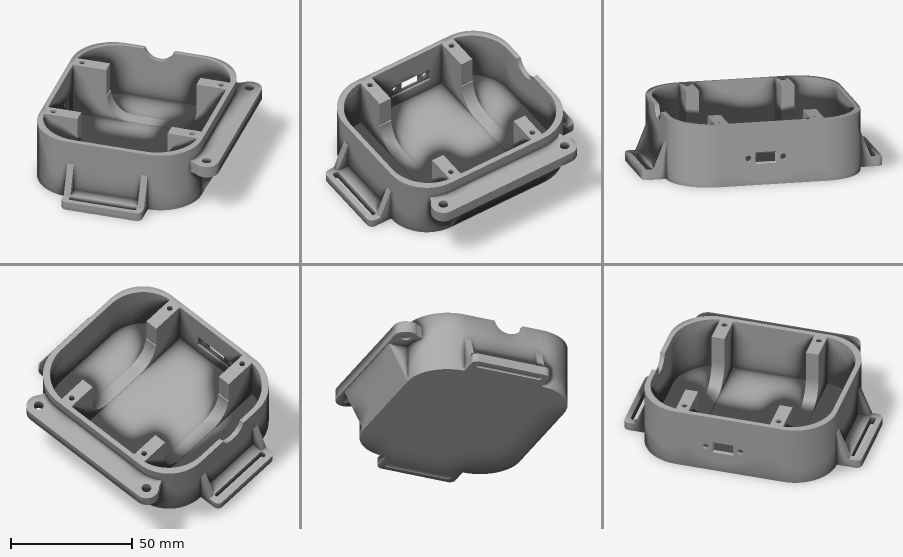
import cadquery as cq

body_x = 70.5
body_y = 82.0
body_z = 26.4
corner_radius = 17.9
wall = 2.0
floor = 3.0
cavity_x = body_x - 2 * wall
cavity_y = body_y - 2 * wall
straight_side_x = body_x - 2 * corner_radius
straight_side_y = body_y - 2 * corner_radius

rib_center_y = 0.6
rib_spacing = 40.5
rib_thickness = 5.5
screw_spacing_x = 60.0
screw_diameter = 2.5
screw_depth = 10.2
saddle_left = -18.8
saddle_right = 20.2
saddle_radius = 10.4
saddle_bottom = 3.3
saddle_ledge = 0.4

notch_x = -2.6
notch_radius = 6.4
notch_rise = 1.5

window_y = 2.8
window_z = 11.5
window_outer = (9.4, 5.0)
window_screw_spacing = 14.8
window_screw_diameter = 2.5
window_bevel = 0.6
window_wall = 1.0
window_pocket = (19.4, 6.1)

loop_span_y = 102.1
loop_center_y = -0.2
loop_thickness = 3.7
loop_corner_radius = 2.5
loop_bar = 2.2
slot_x = 29.1
slot_y = 2.8
slot_corner_radius = 0.8
loop_gusset_top = 16.1
loop_gusset_thickness = (straight_side_x - slot_x) / 2

flange_end_x = 44.4
flange_top = 20.9
flange_thickness = 5.0
flange_bottom = flange_top - flange_thickness
flange_center_y = 0.5
flange_hole_spacing = 60.3
flange_hole_diameter = 4.1
lobe_radius = 5.1
lobe_x = flange_end_x - lobe_radius
flange_neck_x = 35.5
flange_neck_half = 33.7
flange_root_x = 31.1
flange_root_half = 31.7
flange_gusset_reach = 8.4
flange_gusset_foot = 0.4


def rounded_block(size_x, size_y, height, radius):
    """Block on Z = 0, centred on X and Y, with rounded vertical edges."""
    return cq.Workplane("XY").rect(size_x, size_y).extrude(height).edges("|Z").fillet(radius)


def outer_block():
    return rounded_block(body_x, body_y, body_z, corner_radius)


def cavity():
    block = rounded_block(cavity_x, cavity_y, body_z - floor, corner_radius)
    return block.translate((0, 0, floor))


def saddle_profile():
    """U-shaped opening above the ribs, in the XZ plane, with a small ledge on its left side."""
    arc_start_x = saddle_left + saddle_ledge
    arc_top = saddle_bottom + saddle_radius
    return (
        cq.Workplane("XZ")
        .moveTo(saddle_left, body_z)
        .lineTo(saddle_left, arc_top)
        .lineTo(arc_start_x, arc_top)
        .radiusArc((arc_start_x + saddle_radius, saddle_bottom), -saddle_radius)
        .lineTo(saddle_right - saddle_radius, saddle_bottom)
        .radiusArc((saddle_right, arc_top), -saddle_radius)
        .lineTo(saddle_right, body_z)
        .close()
    )


def ribs():
    """Cross ribs with the saddle opening and the screw holes in the posts."""
    bars = (
        cq.Workplane("XY")
        .center(0, rib_center_y)
        .rarray(1, rib_spacing, 1, 2)
        .rect(body_x, rib_thickness)
        .extrude(body_z)
    )
    bars = bars.cut(saddle_profile().extrude(body_y / 2, both=True))
    screw_holes = (
        cq.Workplane("XY", origin=(0, rib_center_y, body_z))
        .rarray(screw_spacing_x, rib_spacing, 2, 2)
        .circle(screw_diameter / 2)
        .extrude(-screw_depth)
    )
    return bars.intersect(outer_block()).cut(screw_holes)


def rim_notch():
    return (
        cq.Workplane("XZ", origin=(notch_x, body_y / 2, body_z + notch_rise))
        .circle(notch_radius)
        .extrude(wall)
    )


def connector_opening():
    """Bevelled window and two screw holes through the -X wall, which is thinned behind them."""
    outside = cq.Workplane("YZ", origin=(-body_x / 2, window_y, window_z))
    window_inner = [size - 2 * window_bevel for size in window_outer]
    bevel = outside.rect(*window_outer).workplane(offset=window_bevel).rect(*window_inner).loft(ruled=True)
    window = outside.rect(*window_inner).extrude(wall)
    screw_holes = (
        outside.rarray(window_screw_spacing, 1, 2, 1).circle(window_screw_diameter / 2).extrude(wall)
    )
    pocket = outside.workplane(offset=window_wall).rect(*window_pocket).extrude(wall - window_wall)
    return bevel.union(window).union(screw_holes).union(pocket)


def strap_loops():
    """Slotted plates at both Y ends, each braced by two triangular gussets."""
    slot_center = loop_span_y / 2 - loop_bar - slot_y / 2
    gusset_reach = loop_span_y / 2 - loop_bar - slot_y
    plate = rounded_block(straight_side_x, loop_span_y, loop_thickness, loop_corner_radius)
    slot = rounded_block(slot_x, slot_y, loop_thickness, slot_corner_radius)
    for side in (-1, 1):
        plate = plate.cut(slot.translate((0, side * slot_center, 0)))
    wall_y = body_y / 2
    gusset = (
        cq.Workplane("YZ")
        .polyline([
            (-gusset_reach, loop_thickness),
            (gusset_reach, loop_thickness),
            (wall_y, loop_gusset_top),
            (-wall_y, loop_gusset_top),
        ])
        .close()
        .extrude(loop_gusset_thickness / 2, both=True)
    )
    gusset_x = (straight_side_x - loop_gusset_thickness) / 2
    for side in (-1, 1):
        plate = plate.union(gusset.translate((side * gusset_x, 0, 0)))
    return plate.translate((0, loop_center_y, 0))


def mounting_flange():
    """Horizontal plate with a round lobe and a hole at each end, on a wedge-shaped support."""
    half_spacing = flange_hole_spacing / 2
    level = cq.Workplane("XY", origin=(0, flange_center_y, flange_bottom))
    plate = (
        level.polyline([
            (flange_root_x, -flange_root_half),
            (flange_neck_x, -flange_neck_half),
            (lobe_x, -half_spacing),
            (flange_end_x, -half_spacing),
            (flange_end_x, half_spacing),
            (lobe_x, half_spacing),
            (flange_neck_x, flange_neck_half),
            (flange_root_x, flange_root_half),
        ])
        .close()
        .extrude(flange_thickness)
    )
    hole_places = level.pushPoints([(lobe_x, -half_spacing), (lobe_x, half_spacing)])
    plate = plate.union(hole_places.circle(lobe_radius).extrude(flange_thickness))
    plate = plate.cut(hole_places.circle(flange_hole_diameter / 2).extrude(flange_thickness))
    wall_x = body_x / 2
    inside_x = wall_x - wall
    wedge = (
        cq.Workplane("XZ")
        .polyline([
            (inside_x, flange_gusset_foot),
            (wall_x, flange_gusset_foot),
            (wall_x + flange_gusset_reach, flange_bottom),
            (inside_x, flange_bottom),
        ])
        .close()
        .extrude(straight_side_y / 2, both=True)
    )
    return plate.union(wedge)


case = outer_block().union(strap_loops()).union(mounting_flange())
case = case.cut(cavity()).union(ribs())
result = case.cut(rim_notch()).cut(connector_opening())